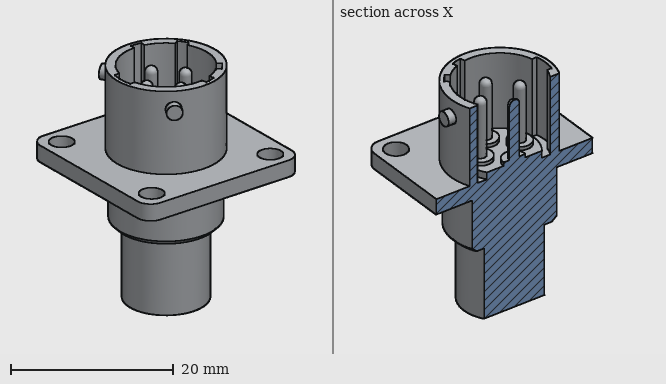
import cadquery as cq
import math

TOTAL_HEIGHT = 31.55
FLANGE_TOP = 20.22
FLANGE_THICKNESS = 2.3
FLANGE_BOTTOM = FLANGE_TOP - FLANGE_THICKNESS
COLLAR_BOTTOM = 10.25

FLANGE_SIDE = 23.8
FLANGE_CORNER_RADIUS = 2.02
MOUNT_HOLE_DIAMETER = 3.22
MOUNT_HOLE_SPACING = 18.3

SHELL_RADIUS = 7.48
COLLAR_RADIUS = 7.13
COLLAR_CHAMFER = 0.65
TAIL_RADIUS = 5.5

BORE_RADIUS = 6.2
SOCKET_DEPTH = TOTAL_HEIGHT - FLANGE_TOP

KEYWAY_RADIUS = 6.9
MAIN_KEYWAY_ANGLE = 270
MAIN_KEYWAY_WIDTH = 3.12
MINOR_KEYWAY_OFFSETS = (105, 140, 215, 265)
MINOR_KEYWAY_WIDTH = 1.5

STUD_ANGLES = (90, 210, 330)
STUD_RADIUS = 1.0
STUD_REACH = 8.55
STUD_DROP = 2.45

INSERT_RADIUS = 5.17
INSERT_HEIGHT = 1.0
CONTACT_COUNT = 4
CONTACT_CIRCLE_RADIUS = 3.0
CONTACT_RADIUS = 0.8
CONTACT_DROP = 1.3
BOSS_RADIUS = 1.67
BOSS_HEIGHT = 0.5


def cylinder(radius, bottom, top):
    """Upright cylinder on the connector axis."""
    return cq.Workplane("XY").workplane(offset=bottom).circle(radius).extrude(top - bottom)


def make_flange():
    plate = (
        cq.Workplane("XY")
        .workplane(offset=FLANGE_BOTTOM)
        .rect(FLANGE_SIDE, FLANGE_SIDE)
        .extrude(FLANGE_THICKNESS)
        .edges("|Z")
        .fillet(FLANGE_CORNER_RADIUS)
    )
    return (
        plate.faces(">Z")
        .workplane()
        .rect(MOUNT_HOLE_SPACING, MOUNT_HOLE_SPACING, forConstruction=True)
        .vertices()
        .hole(MOUNT_HOLE_DIAMETER)
    )


def make_rear_body():
    collar = cylinder(COLLAR_RADIUS, COLLAR_BOTTOM, FLANGE_BOTTOM)
    collar = collar.faces("<Z").edges().chamfer(COLLAR_CHAMFER)
    tail = cylinder(TAIL_RADIUS, 0, COLLAR_BOTTOM)
    return collar.union(tail)


def make_keyway(angle, width):
    """Parallel-sided radial slot whose floor follows the keyway radius."""
    slot = (
        cq.Workplane("XY")
        .workplane(offset=FLANGE_TOP)
        .rect(SHELL_RADIUS, width, centered=(False, True))
        .extrude(SOCKET_DEPTH)
    )
    slot = slot.intersect(cylinder(KEYWAY_RADIUS, FLANGE_TOP, TOTAL_HEIGHT))
    return slot.rotate((0, 0, 0), (0, 0, 1), angle)


def make_socket():
    socket = cylinder(BORE_RADIUS, FLANGE_TOP, TOTAL_HEIGHT)
    socket = socket.union(make_keyway(MAIN_KEYWAY_ANGLE, MAIN_KEYWAY_WIDTH))
    for offset in MINOR_KEYWAY_OFFSETS:
        socket = socket.union(make_keyway(MAIN_KEYWAY_ANGLE + offset, MINOR_KEYWAY_WIDTH))
    return socket


def make_stud(angle):
    """Flat-ended radial stud, rooted inside the shell wall."""
    root = (SHELL_RADIUS + KEYWAY_RADIUS) / 2
    stud = (
        cq.Workplane("YZ")
        .workplane(offset=root)
        .center(0, TOTAL_HEIGHT - STUD_DROP)
        .circle(STUD_RADIUS)
        .extrude(STUD_REACH - root)
    )
    return stud.rotate((0, 0, 0), (0, 0, 1), angle)


def make_contact(angle):
    """Round-nosed pin standing on a low boss."""
    insert_top = FLANGE_TOP + INSERT_HEIGHT
    tip_centre = TOTAL_HEIGHT - CONTACT_DROP - CONTACT_RADIUS
    boss = cylinder(BOSS_RADIUS, insert_top, insert_top + BOSS_HEIGHT)
    pin = cylinder(CONTACT_RADIUS, insert_top, tip_centre)
    nose = cq.Workplane("XY").sphere(CONTACT_RADIUS).translate((0, 0, tip_centre))
    x = CONTACT_CIRCLE_RADIUS * math.cos(math.radians(angle))
    y = CONTACT_CIRCLE_RADIUS * math.sin(math.radians(angle))
    return boss.union(pin).union(nose).translate((x, y, 0))


def make_insert():
    insert = cylinder(INSERT_RADIUS, FLANGE_TOP, FLANGE_TOP + INSERT_HEIGHT)
    for index in range(CONTACT_COUNT):
        insert = insert.union(make_contact(index * 360 / CONTACT_COUNT))
    return insert


shell = cylinder(SHELL_RADIUS, FLANGE_TOP, TOTAL_HEIGHT)
for stud_angle in STUD_ANGLES:
    shell = shell.union(make_stud(stud_angle))
shell = shell.cut(make_socket())

result = make_flange().union(make_rear_body()).union(shell).union(make_insert())